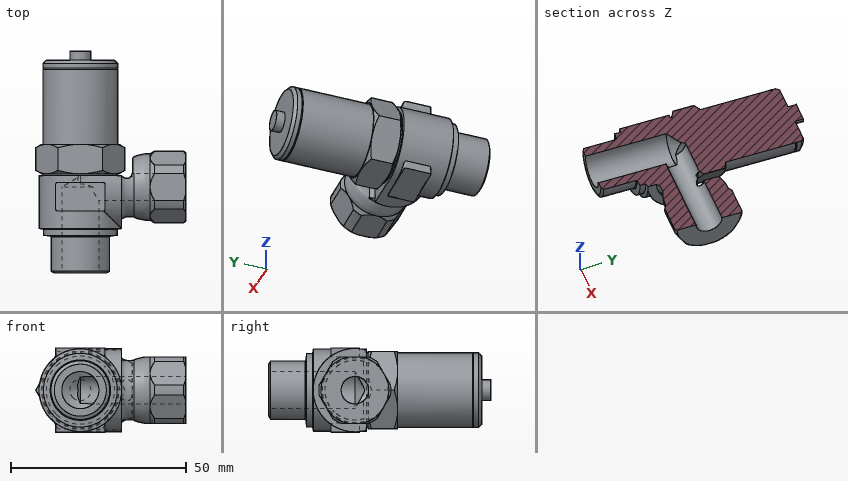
import cadquery as cq
import math


body_radius = 11.75
body_top = 3.25
body_bottom = -11.8
collar_radius = 10.5
collar_top = -12.05
collar_bottom = -13.75
spigot_root_radius = 8.6
spigot_root = -13.95
spigot_radius = 8.35
spigot_end = -24.5
spigot_chamfer_length = 0.55
spigot_tip_radius = 7.4

hex_nut_flats = 22.0
hex_nut_bottom = 3.76
hex_nut_height = 8.4
bonnet_radius = 10.65
bonnet_top = 36.1
bonnet_chamfer = 0.95
groove_bottom = 33.45
groove_width = 0.35
groove_depth = 0.1
pin_radius = 3.0
pin_top = 38.64
hex_chamfer_angle = 30.0
hex_half_sector = math.radians(30)

pad_length = 14.1
pad_width = 8.1
pad_centre_y = -2.75
pad_height = 24.0
pad_corner_radius = 0.6

branch_radius = 11.85
branch_end = body_radius
neck_radius = 8.5
neck_flare_radius = 2.0
neck_flare_end = 13.3
neck_end = 14.66
neck_shoulder_end = 15.0
neck_shoulder_radius = 8.55
trough_bottom = 2.5

swivel_nose = 14.84
nose_face_radius = 7.9
nose_shoulder = (15.25, 8.58)
nose_taper = 0.26
swivel_end = 30.0
swivel_collar_start = 18.2
swivel_collar_radius = 9.45
swivel_ring_start = 18.6
swivel_flats = 19.0
swivel_hex_start = 19.85
swivel_corner_radius = 10.25
swivel_end_chamfer = 0.6

main_bore_radius = 5.28
main_bore_end = 0.0
cross_bore_radius = 3.9
drill_point_angle = 118.0


def turned_about_y(points):
    """Solid of revolution about Y from (radius, y) points that close along the axis."""
    return cq.Workplane("XY").polyline(points).close().revolve(360, (0, 0, 0), (0, 1, 0))


def turned_about_x(points):
    """Solid of revolution about X from (x, radius) points that close along the axis."""
    return cq.Workplane("XY").polyline(points).close().revolve(360, (0, 0, 0), (1, 0, 0))


def hexagon_along_z(flats, height):
    """Hexagonal prism along Z with two corners on the X axis."""
    return cq.Workplane("XY").polygon(6, flats / math.cos(hex_half_sector)).extrude(height)


def body_and_spigot():
    return turned_about_y([
        (0, body_top),
        (body_radius, body_top),
        (body_radius, body_bottom),
        (collar_radius, collar_top),
        (collar_radius, collar_bottom),
        (spigot_root_radius, spigot_root),
        (spigot_radius, spigot_root - (spigot_root_radius - spigot_radius)),
        (spigot_radius, spigot_end + spigot_chamfer_length),
        (spigot_tip_radius, spigot_end),
        (0, spigot_end),
    ])


def bonnet_and_pin():
    groove_radius = bonnet_radius - groove_depth
    groove_top = groove_bottom + groove_width
    return turned_about_y([
        (0, body_top),
        (bonnet_radius, body_top),
        (bonnet_radius, groove_bottom),
        (groove_radius, groove_bottom),
        (groove_radius, groove_top),
        (bonnet_radius, groove_top),
        (bonnet_radius, bonnet_top - bonnet_chamfer),
        (bonnet_radius - bonnet_chamfer, bonnet_top),
        (pin_radius, bonnet_top),
        (pin_radius, pin_top),
        (0, pin_top),
    ])


def hex_nut():
    """Hexagon with both ends turned to a 30 degree chamfer that starts at the flats."""
    flat_radius = hex_nut_flats / 2
    corner_radius = flat_radius / math.cos(hex_half_sector)
    chamfer_length = (corner_radius - flat_radius) * math.tan(math.radians(hex_chamfer_angle))
    nut_top = hex_nut_bottom + hex_nut_height
    envelope = turned_about_y([
        (0, hex_nut_bottom),
        (flat_radius, hex_nut_bottom),
        (corner_radius, hex_nut_bottom + chamfer_length),
        (corner_radius, nut_top - chamfer_length),
        (flat_radius, nut_top),
        (0, nut_top),
    ])
    prism = hexagon_along_z(hex_nut_flats, hex_nut_height)
    prism = prism.rotate((0, 0, 0), (1, 0, 0), -90).translate((0, hex_nut_bottom, 0))
    return prism.intersect(envelope)


def wrench_pads():
    return (
        cq.Workplane("XY")
        .center(0, pad_centre_y)
        .rect(pad_length, pad_width)
        .extrude(pad_height / 2, both=True)
        .edges("|Z")
        .fillet(pad_corner_radius)
    )


def branch():
    """Drum across the body, trimmed to the body's top and bottom faces."""
    drum = cq.Workplane("YZ").circle(branch_radius).extrude(branch_end)
    trim_height = body_top - body_bottom
    trim = (
        cq.Workplane("XY")
        .box(branch_end, trim_height, 2 * branch_radius, centered=(False, False, True))
        .translate((0, body_bottom, 0))
    )
    return drum.intersect(trim)


def arc_drop(span):
    """Height that the flare arc gains over a span measured from its lowest point."""
    return neck_flare_radius - math.sqrt(neck_flare_radius**2 - span**2)


def neck():
    """Round neck that flares into the branch, cut down to a trough on its +Y side."""
    flare_span = neck_flare_end - branch_end
    flare_mid_x = branch_end + flare_span / 2
    flare_mid_rise = arc_drop(flare_span / 2)
    flare_rise = arc_drop(flare_span)
    flare_top = neck_radius + flare_rise
    turned = (
        cq.Workplane("XY")
        .moveTo(0, 0)
        .lineTo(0, flare_top)
        .lineTo(branch_end, flare_top)
        .threePointArc((flare_mid_x, neck_radius + flare_mid_rise), (neck_flare_end, neck_radius))
        .lineTo(neck_end, neck_radius)
        .lineTo(neck_shoulder_end, neck_shoulder_radius)
        .lineTo(swivel_collar_start, neck_shoulder_radius)
        .lineTo(swivel_collar_start, 0)
        .close()
        .revolve(360, (0, 0, 0), (1, 0, 0))
    )
    trough_end_radius = neck_end - neck_flare_end
    trough_end_y = trough_bottom + trough_end_radius
    trough = (
        cq.Workplane("XY")
        .moveTo(0, trough_bottom + flare_rise)
        .lineTo(branch_end, trough_bottom + flare_rise)
        .threePointArc((flare_mid_x, trough_bottom + flare_mid_rise), (neck_flare_end, trough_bottom))
        .radiusArc((neck_end, trough_end_y), -trough_end_radius)
        .lineTo(swivel_collar_start, trough_end_y)
        .lineTo(swivel_collar_start, flare_top)
        .lineTo(0, flare_top)
        .close()
        .extrude(flare_top, both=True)
    )
    return turned.cut(trough)


def swivel_nut():
    """Rounded, tapered nose and ring followed by a hexagon with turned corners."""
    hex_chamfer_start = swivel_end - swivel_end_chamfer
    nose = (
        cq.Workplane("XY")
        .moveTo(swivel_nose, 0)
        .lineTo(swivel_nose, nose_face_radius)
        .spline(
            [nose_shoulder, (swivel_collar_start, swivel_collar_radius)],
            tangents=[(0, 1), (1, nose_taper)],
            includeCurrent=True,
        )
        .lineTo(swivel_ring_start, swivel_flats / 2)
        .lineTo(hex_chamfer_start, swivel_flats / 2)
        .lineTo(hex_chamfer_start, 0)
        .close()
        .revolve(360, (0, 0, 0), (1, 0, 0))
    )
    flat_radius = swivel_flats / 2
    corner_height = swivel_corner_radius - flat_radius
    chamfer_length = corner_height / math.tan(math.radians(hex_chamfer_angle))
    envelope = turned_about_x([
        (swivel_hex_start, 0),
        (swivel_hex_start, flat_radius),
        (swivel_hex_start + chamfer_length, swivel_corner_radius),
        (hex_chamfer_start, swivel_corner_radius),
        (swivel_end, swivel_corner_radius - swivel_end_chamfer),
        (swivel_end, 0),
    ])
    prism = hexagon_along_z(swivel_flats, swivel_end - swivel_hex_start)
    prism = prism.rotate((0, 0, 0), (0, 0, 1), 90).rotate((0, 0, 0), (0, 1, 0), 90)
    prism = prism.translate((swivel_hex_start, 0, 0))
    return nose.union(prism.intersect(envelope))


def drill_point_length(radius):
    return radius / math.tan(math.radians(drill_point_angle / 2))


def main_bore():
    """Blind hole up the spigot, closed by a drill point."""
    return turned_about_y([
        (0, spigot_end),
        (main_bore_radius, spigot_end),
        (main_bore_radius, main_bore_end),
        (0, main_bore_end + drill_point_length(main_bore_radius)),
    ])


def cross_bore():
    """Hole from the swivel nut face to the main axis, closed by a drill point."""
    return turned_about_x([
        (swivel_end, 0),
        (swivel_end, cross_bore_radius),
        (0, cross_bore_radius),
        (-drill_point_length(cross_bore_radius), 0),
    ])


result = (
    body_and_spigot()
    .union(bonnet_and_pin())
    .union(hex_nut())
    .union(branch())
    .union(wrench_pads())
    .union(neck())
    .union(swivel_nut())
    .cut(main_bore())
    .cut(cross_bore())
)